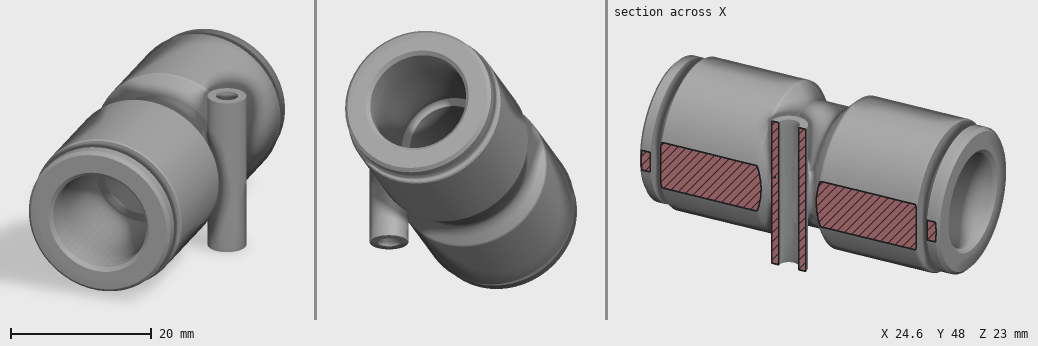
import cadquery as cq

length = 48.0
half_length = length / 2
body_radius = 22.5 / 2
body_end = half_length - 3.5
body_edge_chamfer = 0.2
waist_radius = 8.95
waist_half_width = 2.7
shoulder_rise = body_radius - waist_radius
shoulder_end = waist_half_width + shoulder_rise
shoulder_round = 0.5

collar_radius = 10.75
collar_thickness = 1.85
collar_inner_face = half_length - collar_thickness
collar_chamfer = 0.5
neck_radius = 7.85
neck_round = 0.2

through_radius = 11.65 / 2
socket_radius = 7.05
socket_depth = 17.75
socket_chamfer = 0.55

pin_radius = 5.5 / 2
pin_hole_radius = 1.6
pin_length = 23.0
pin_x = 10.6
pin_root_round = 0.5
pin_margin = 0.5


def ring_edges(solid, radius, distance):
    """Circular edges about Y with the given radius, at both +distance and -distance."""
    tolerance = 0.005
    rings = []
    for edge in solid.edges("%CIRCLE").vals():
        center = edge.arcCenter()
        on_axis = abs(center.x) < tolerance and abs(center.z) < tolerance
        if (on_axis and abs(edge.radius() - radius) < tolerance
                and abs(abs(center.y) - distance) < tolerance):
            rings.append(edge)
    return solid.newObject(rings)


def turned_body():
    """Solid outside shape: one half profile, mirrored and revolved about Y."""
    half_profile = [
        (waist_radius, waist_half_width),
        (body_radius, shoulder_end),
        (body_radius, body_end),
        (neck_radius, body_end),
        (neck_radius, collar_inner_face),
        (collar_radius, collar_inner_face),
        (collar_radius, half_length),
        (0, half_length),
    ]
    mirrored = [(radius, -y) for radius, y in reversed(half_profile)]
    body = cq.Workplane("XY").polyline(mirrored + half_profile).close()
    body = body.revolve(360, (0, 0, 0), (0, 1, 0))
    body = ring_edges(body, collar_radius, half_length).chamfer(collar_chamfer)
    body = ring_edges(body, body_radius, body_end).chamfer(body_edge_chamfer)
    body = ring_edges(body, neck_radius, collar_inner_face).fillet(neck_round)
    body = ring_edges(body, body_radius, shoulder_end).fillet(shoulder_round)
    return ring_edges(body, waist_radius, waist_half_width).fillet(shoulder_round)


def pin_cylinder(radius):
    return cq.Workplane("XY", origin=(pin_x, 0, -pin_length / 2)).circle(radius).extrude(pin_length)


def add_pin(body):
    """Join the cross pin, round its root against the waist, and drill it through."""
    pin_box = cq.selectors.BoxSelector(
        (pin_x - pin_radius - pin_margin, -pin_radius - pin_margin, -pin_length / 2 + pin_margin),
        (pin_x + pin_radius + pin_margin, pin_radius + pin_margin, pin_length / 2 - pin_margin),
        boundingbox=True,
    )
    joined = body.union(pin_cylinder(pin_radius))
    rounded = joined.edges(pin_box).edges("not %LINE").fillet(pin_root_round)
    return rounded.cut(pin_cylinder(pin_hole_radius))


def cut_bores(body):
    """Through bore with a wider, chamfered socket at each end."""
    bored = body.cut(cq.Workplane("XZ").circle(through_radius).extrude(half_length, both=True))
    socket = cq.Workplane("XZ").workplane(offset=half_length - socket_depth)
    socket = socket.circle(socket_radius).extrude(socket_depth)
    bored = bored.cut(socket).cut(socket.mirror("XZ"))
    return ring_edges(bored, socket_radius, half_length).chamfer(socket_chamfer)


result = cut_bores(add_pin(turned_body()))